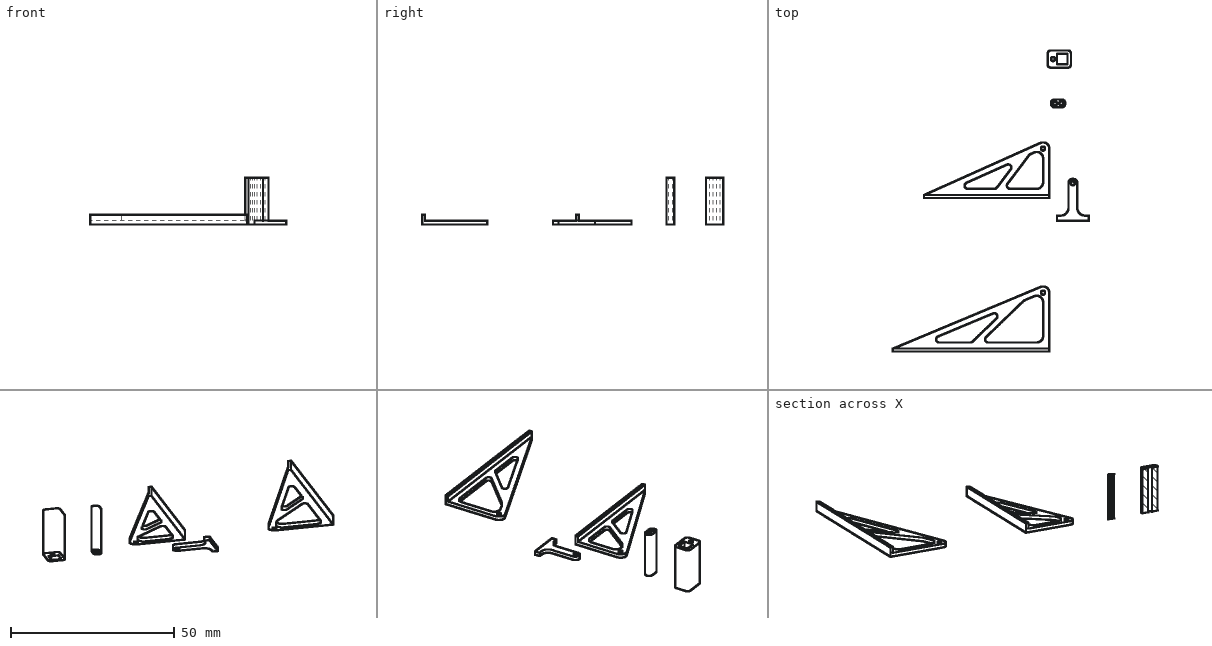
import cadquery as cq
import math

plate_thickness = 1.2
column_height = 14.4
pin_hole_diameter = 1.2

frame_width = 1.9
flange_thickness = 0.9
flange_height = 3.05
window_radius = 0.9
window_wall_radius = 1.9

large_length = 48.0
large_depth = 20.0
large_brace_foot = -23.8
large_brace_angle = 44.0
small_length = 38.4
small_depth = 17.1
small_brace_foot = -16.35
small_brace_angle = 53.0
small_bracket_y = 47.1

arm_x = 7.2
arm_y = 40.1
arm_length = 12.9
arm_stem_width = 2.8
arm_foot_width = 9.8
arm_foot_depth = 1.7
arm_fillet = 2.3

socket_size = 3.1
socket_wall = 1.1
column_length = 7.2
column_depth = socket_size + 2 * socket_wall
column_left = -0.6
column_back = 92.4
column_corner_radius = 1.0
column_hole_inset = 1.7

link_x = 2.7
link_y = 76.1
link_hole_pitch = 1.9
link_width = 2.5


def line_point(start, angle, offset, x=None, y=None):
    """Point at the given x or y on a line through start, shifted sideways (to the right) by offset."""
    base_x = start[0] + offset * math.sin(angle)
    base_y = start[1] - offset * math.cos(angle)
    if x is None:
        return (base_x + (y - base_y) / math.tan(angle), y)
    return (x, base_y + (x - base_x) * math.tan(angle))


def line_crossing(start_a, angle_a, offset_a, start_b, angle_b, offset_b):
    """Crossing point of two shifted lines."""
    ax, ay = line_point(start_a, angle_a, offset_a, x=0)
    bx, by = line_point(start_b, angle_b, offset_b, x=0)
    x = (by - ay) / (math.tan(angle_a) - math.tan(angle_b))
    return (x, ay + x * math.tan(angle_a))


def make_bracket(length, depth, brace_foot, brace_angle, y_position):
    apex = (-frame_width, depth - frame_width)
    tip = (-length, flange_thickness)

    apex_dx = apex[0] - tip[0]
    apex_dy = apex[1] - tip[1]
    slope = math.atan2(apex_dy, apex_dx) + math.asin(frame_width / math.hypot(apex_dx, apex_dy))

    def apex_arc_point(angle):
        return (apex[0] + frame_width * math.cos(angle), apex[1] + frame_width * math.sin(angle))

    tangent_angle = slope + math.pi / 2
    body = (
        cq.Workplane("XY").moveTo(-length, 0).lineTo(*tip)
        .lineTo(*apex_arc_point(tangent_angle))
        .threePointArc(apex_arc_point(tangent_angle / 2), apex_arc_point(0))
        .lineTo(0, 0).close().extrude(plate_thickness)
    )
    flange = cq.Workplane("XY").box(length, flange_thickness, flange_height, centered=False)
    body = body.union(flange.translate((-length, 0, 0)))

    brace = math.radians(brace_angle)
    window_front = flange_thickness + frame_width
    foot = (brace_foot, window_front)
    left_window = (
        cq.Workplane("XY")
        .polyline([
            line_point(tip, slope, frame_width, y=window_front),
            foot,
            line_crossing(tip, slope, frame_width, foot, brace, 0),
        ])
        .close().extrude(plate_thickness).edges("|Z").fillet(window_radius)
    )
    right_window = (
        cq.Workplane("XY")
        .polyline([
            line_point(foot, brace, frame_width, y=window_front),
            (-frame_width, window_front),
            line_point(tip, slope, frame_width, x=-frame_width),
            line_crossing(tip, slope, frame_width, foot, brace, frame_width),
        ])
        .close().extrude(plate_thickness)
    )
    right_window = right_window.faces(">X").edges("|Z").fillet(window_wall_radius)
    brace_corners = right_window.edges("|Z").filter(
        lambda edge: edge.Center().x < apex[0] - 2 * window_wall_radius)
    right_window = brace_corners.fillet(window_radius)

    pin_hole = cq.Workplane("XY").center(*apex).circle(pin_hole_diameter / 2).extrude(plate_thickness)
    return body.cut(left_window).cut(right_window).cut(pin_hole).translate((0, y_position, 0))


def make_arm():
    end_radius = arm_stem_width / 2
    hole_y = arm_length - end_radius
    foot = (
        cq.Workplane("XY").center(0, arm_foot_depth / 2)
        .rect(arm_foot_width, arm_foot_depth).extrude(plate_thickness)
    )
    stem = cq.Workplane("XY").center(0, hole_y / 2).rect(arm_stem_width, hole_y).extrude(plate_thickness)
    stem_end = cq.Workplane("XY").center(0, hole_y).circle(end_radius).extrude(plate_thickness)

    inner_corners = cq.selectors.BoxSelector(
        (-arm_stem_width, arm_foot_depth / 2, 0),
        (arm_stem_width, arm_foot_depth * 3 / 2, plate_thickness),
    )
    arm = foot.union(stem).edges("|Z").edges(inner_corners).fillet(arm_fillet)
    pin_hole = cq.Workplane("XY").center(0, hole_y).circle(pin_hole_diameter / 2).extrude(plate_thickness)
    return arm.union(stem_end).cut(pin_hole).translate((arm_x, arm_y, 0))


def make_column():
    column = (
        cq.Workplane("XY").rect(column_length, column_depth).extrude(column_height)
        .edges("|Z").fillet(column_corner_radius)
    )
    socket_x = column_length / 2 - socket_wall - socket_size / 2
    socket = cq.Workplane("XY").center(socket_x, 0).rect(socket_size, socket_size).extrude(column_height)
    hole_x = column_hole_inset - column_length / 2
    pin_hole = cq.Workplane("XY").center(hole_x, 0).circle(pin_hole_diameter / 2).extrude(column_height)
    column_center = (column_left + column_length / 2, column_back - column_depth / 2, 0)
    return column.cut(socket).cut(pin_hole).translate(column_center)


def make_link():
    link = cq.Workplane("XY").slot2D(link_hole_pitch + link_width, link_width).extrude(column_height)
    pin_holes = (
        cq.Workplane("XY").rarray(link_hole_pitch, 0.9, 2, 1)
        .circle(pin_hole_diameter / 2).extrude(column_height)
    )
    return link.cut(pin_holes).translate((link_x, link_y, 0))


large_bracket = make_bracket(large_length, large_depth, large_brace_foot, large_brace_angle, 0)
small_bracket = make_bracket(
    small_length, small_depth, small_brace_foot, small_brace_angle, small_bracket_y)
arm = make_arm()
column = make_column()
link = make_link()

result = cq.Compound.makeCompound([
    large_bracket.val(), small_bracket.val(), arm.val(), column.val(), link.val(),
])